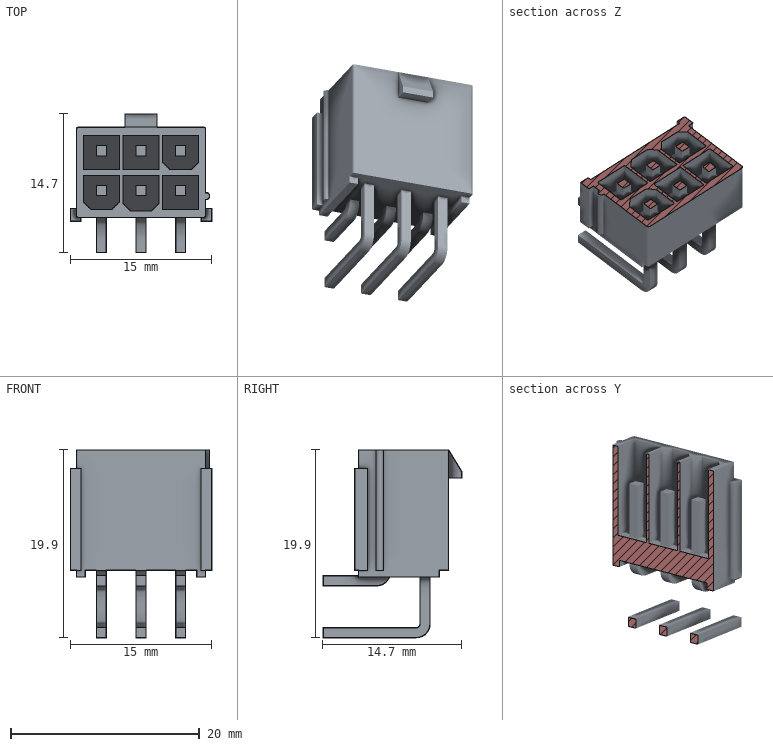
import cadquery as cq

body_width = 13.73
body_depth = 9.59
body_height = 12.8
corner_radius = 0.25

columns = 3
pitch = 4.2
front_row_y = 2.87
rear_row_y = front_row_y + pitch

cavity_width = 3.8
cavity_length = 3.6
cavity_offset = 0.2
cavity_depth = 9.96
key_chamfer = 0.78
extra_key_length = 0.15

pin_size = 1.08
pin_tip_depth = 3.99
pin_reach = 3.73
bend_radius = 0.4
front_pin_drop = 1.63
rear_pin_drop = 7.13

rib_width = 1.14
rib_depth = 1.38
rib_overhang = 0.4
rib_top_gap = 1.97
overall_width = 15.0

rail_width = 0.95
rail_height = 0.72
rail_rear_gap = 0.98

latch_width = 3.43
latch_reach = 1.4
latch_height = 3.0
latch_lip = 0.7

side_rib_radius = 0.38
side_rib_offset = 0.04
side_rib_y = 2.27


def block(x_min, y_min, z_min, width, depth, height):
    """Box placed by its lowest corner."""
    box = cq.Workplane("XY").box(width, depth, height, centered=False)
    return box.translate((x_min, y_min, z_min))


def make_body():
    body = block(-body_width / 2, 0, 0, body_width, body_depth, body_height)
    return body.edges("|Z").fillet(corner_radius)


def make_cavity(x, row_y, keyed=False, extra_length=0.0):
    """Cavity volume; a keyed one has its two front corners cut off."""
    y_min = row_y - cavity_offset - cavity_length / 2 - extra_length
    floor_z = body_height - cavity_depth
    length = cavity_length + extra_length
    cavity = block(x - cavity_width / 2, y_min, floor_z, cavity_width, length, cavity_depth)
    if keyed:
        cavity = cavity.faces("<Y").edges("|Z").chamfer(key_chamfer)
    return cavity


def make_pin(x, row_y, drop):
    """L-shaped contact whose lower side lies at Z = -drop."""
    half = pin_size / 2
    outer_radius = bend_radius + pin_size
    tip_z = body_height - pin_tip_depth
    rear_y = row_y + half
    inner_y = row_y - half
    inner_z = pin_size - drop
    profile = (
        cq.Workplane("YZ")
        .moveTo(-pin_reach, -drop)
        .lineTo(rear_y - outer_radius, -drop)
        .radiusArc((rear_y, outer_radius - drop), -outer_radius)
        .lineTo(rear_y, tip_z)
        .lineTo(inner_y, tip_z)
        .lineTo(inner_y, inner_z + bend_radius)
        .radiusArc((inner_y - bend_radius, inner_z), bend_radius)
        .lineTo(-pin_reach, inner_z)
        .close()
    )
    return profile.extrude(half, both=True).translate((x, 0, 0))


def make_corner_rib(x_min):
    rib_height = body_height - rib_top_gap
    return block(x_min, -rib_overhang, 0, rib_width, rib_depth, rib_height)


def make_rail(x_min):
    rail_depth = body_depth - rail_rear_gap
    return block(x_min, 0, -rail_height, rail_width, rail_depth, rail_height)


def make_latch():
    top_z = body_height
    bottom_z = top_z - latch_height
    tip_y = body_depth + latch_reach
    profile = (
        cq.Workplane("YZ")
        .moveTo(body_depth, bottom_z)
        .lineTo(tip_y, bottom_z)
        .lineTo(tip_y, bottom_z + latch_lip)
        .lineTo(body_depth, top_z)
        .close()
    )
    return profile.extrude(latch_width / 2, both=True)


def make_side_rib():
    center_x = body_width / 2 + side_rib_offset
    return cq.Workplane("XY").center(center_x, side_rib_y).circle(side_rib_radius).extrude(body_height)


column_x = [(column - (columns - 1) / 2) * pitch for column in range(columns)]
left_x, middle_x, right_x = column_x

result = make_body()
result = result.union(make_side_rib())
result = result.union(make_latch())
for rib_x in (-overall_width / 2, overall_width / 2 - rib_width):
    result = result.union(make_corner_rib(rib_x))
for rail_x in (-body_width / 2, body_width / 2 - rail_width):
    result = result.union(make_rail(rail_x))

result = result.cut(make_cavity(left_x, front_row_y, keyed=True))
result = result.cut(make_cavity(middle_x, front_row_y, keyed=True, extra_length=extra_key_length))
result = result.cut(make_cavity(right_x, front_row_y))
result = result.cut(make_cavity(left_x, rear_row_y))
result = result.cut(make_cavity(middle_x, rear_row_y))
result = result.cut(make_cavity(right_x, rear_row_y, keyed=True))

for pin_x in column_x:
    result = result.union(make_pin(pin_x, front_row_y, front_pin_drop))
    result = result.union(make_pin(pin_x, rear_row_y, rear_pin_drop))